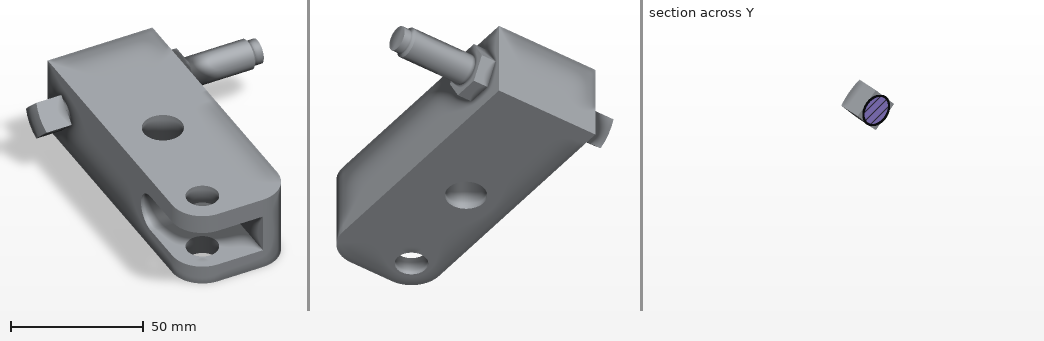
import cadquery as cq

length = 114.3
width = 44.5
height = 31.8
corner_radius = 12.7

pivot_hole_diameter = 15.9
pivot_hole_y = 19.1
pin_hole_diameter = 12.7
pin_hole_y = 12.7

slot_height = height / 2
slot_start_x = 76.0
slot_depth = width - corner_radius

screw_x = 12.7
screw_diameter = 12.1
shank_end = 33.7
tip_start = 34.7
tip_diameter = 10.0
tip_end = 38.1
head_diagonal = 16.9
head_gap = 0.8
head_corner_end = 11.4
head_end = 12.7
nut_diagonal = 20.8
nut_thickness = 6.3


def make_block():
    block = cq.Workplane("XY").box(length, width, height, centered=(False, False, True))
    block = block.edges("|Z and >X").fillet(corner_radius)
    for x, y, diameter in (
        (length / 2, pivot_hole_y, pivot_hole_diameter),
        (length - corner_radius, pin_hole_y, pin_hole_diameter),
    ):
        hole = cq.Workplane("XY").center(x, y).circle(diameter / 2).extrude(height, both=True)
        block = block.cut(hole)
    return block.cut(make_slot())


def make_slot():
    """Round-ended slot running out through the right end."""
    radius = slot_height / 2
    straight_start = slot_start_x + radius
    return (
        cq.Workplane("XZ")
        .moveTo(length, -radius)
        .lineTo(straight_start, -radius)
        .threePointArc((slot_start_x, 0), (straight_start, radius))
        .lineTo(length, radius)
        .close()
        .extrude(-slot_depth)
    )


def make_screw():
    shank_radius = screw_diameter / 2
    tip_radius = tip_diameter / 2
    profile = [
        (0, -head_gap),
        (shank_radius, -head_gap),
        (shank_radius, width + shank_end),
        (tip_radius, width + tip_start),
        (tip_radius, width + tip_end),
        (0, width + tip_end),
    ]
    screw = cq.Workplane("XY").polyline(profile).close().revolve(360, (0, 0), (0, 1))
    return screw.translate((screw_x, 0, 0))


def make_head():
    """Square head standing on its corner, its end rounded to a shallow dome."""
    head = (
        cq.Workplane("XZ", origin=(screw_x, -head_gap, 0))
        .polygon(4, head_diagonal)
        .extrude(head_end - head_gap)
    )
    dome_rise = head_end - head_corner_end
    dome_radius = ((head_diagonal / 2) ** 2 + dome_rise ** 2) / (2 * dome_rise)
    dome = cq.Workplane("XY").sphere(dome_radius).translate((screw_x, dome_radius - head_end, 0))
    return head.intersect(dome)


def make_nut():
    """Hexagonal lock nut with two flats facing up and down."""
    return (
        cq.Workplane("XZ", origin=(screw_x, width, 0))
        .polygon(6, nut_diagonal)
        .extrude(-nut_thickness)
    )


result = make_block().union(make_screw()).union(make_head()).union(make_nut())